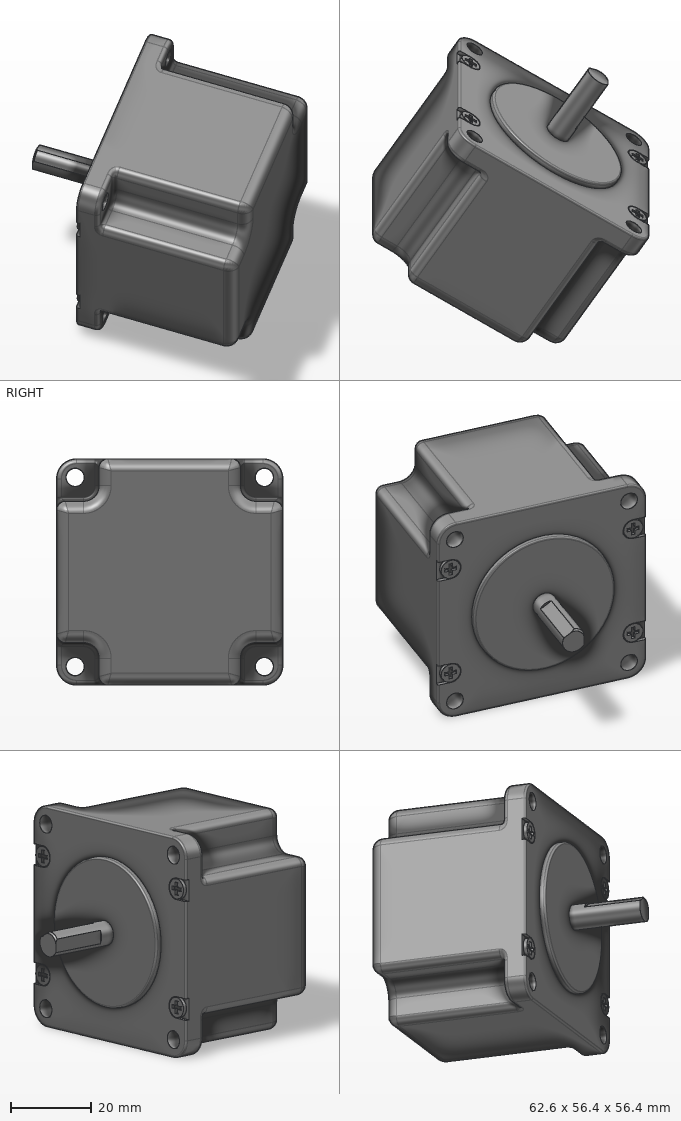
import cadquery as cq
import math


body_size = 56.4
body_length = 42.0
half_size = body_size / 2
flange_thickness = 6.1
flange_corner_radius = 5.0
flange_front_fillet = 0.5
flange_back_fillet = 1.2

notch_size = 10.6
notch_cove_radius = 3.9
notch_root_fillet = 1.0
body_edge_fillet = 2.1
rear_fillet = 3.0

mount_hole_spacing = 47.14
mount_hole_diameter = 4.5

boss_diameter = 38.1
boss_height = 1.6
boss_fillet = 0.5

shaft_diameter = 6.35
shaft_radius = shaft_diameter / 2
shaft_length = 20.6
flat_length = 15.0
flat_depth = 0.5
flat_angles = (180, 60)
tip_chamfer = 0.45

screw_y = 24.7
screw_z = 15.15
screw_head_diameter = 5.2
recess_width = 5.5
recess_depth = 1.0
cross_length = 3.2
cross_width = 0.9
cross_depth = 0.8

CORNERS = [(1, 1), (-1, 1), (-1, -1), (1, -1)]


def plane_at(x):
    """Sketch plane facing +X, with sketch axes along Y and Z."""
    return cq.Workplane("YZ", origin=(x, 0, 0))


def fillet_edges(solid, radius_by_edge):
    """Round several meeting edges in one step, each with its own radius."""
    builder = cq.occ_impl.shapes.BRepFilletAPI_MakeFillet(solid.wrapped)
    for edge, radius in radius_by_edge:
        builder.Add(radius, edge.wrapped)
    return cq.Shape.cast(builder.Shape()).Solids()[0]


def make_notch(y_sign, z_sign):
    """Square corner cutter with a coved inner edge."""
    notch = (
        plane_at(flange_thickness)
        .center(y_sign * half_size, z_sign * half_size)
        .rect(2 * notch_size, 2 * notch_size)
        .extrude(body_length)
    )
    return notch.edges("|X").fillet(notch_cove_radius)


def notch_edge_radii(body, y_sign, z_sign):
    """One edge of each tangent chain around a notch, paired with its fillet radius."""
    wall = half_size - notch_size
    body_edge_x = (flange_thickness + body_length - rear_fillet) / 2
    arc_factor = 1 - math.cos(math.pi / 4)
    cove = wall + notch_cove_radius * arc_factor
    rim = half_size - flange_corner_radius * arc_factor
    edge_points = [
        (body_edge_x, half_size, wall, body_edge_fillet),
        (body_edge_x, wall, half_size, body_edge_fillet),
        (flange_thickness, cove, cove, notch_root_fillet),
        (flange_thickness, rim, rim, flange_back_fillet),
    ]
    pairs = []
    for x, y, z, radius in edge_points:
        nearest = cq.NearestToPointSelector((x, y_sign * y, z_sign * z))
        pairs.append((body.edges(nearest).val(), radius))
    return pairs


def make_body():
    body = plane_at(0).rect(body_size, body_size).extrude(body_length)
    body = body.edges("|X").fillet(flange_corner_radius)
    for y_sign, z_sign in CORNERS:
        body = body.cut(make_notch(y_sign, z_sign))
    body = body.faces("<X").edges().fillet(flange_front_fillet)
    body = body.faces(">X").edges().fillet(rear_fillet)

    radius_by_edge = []
    for y_sign, z_sign in CORNERS:
        radius_by_edge += notch_edge_radii(body, y_sign, z_sign)
    return cq.Workplane(fillet_edges(body.val(), radius_by_edge))


def make_mounting_holes():
    return (
        plane_at(0)
        .rect(mount_hole_spacing, mount_hole_spacing, forConstruction=True)
        .vertices()
        .circle(mount_hole_diameter / 2)
        .extrude(body_length)
    )


def make_screw_recess(y_sign, z_sign):
    """Round-ended slot, open at the flange side, leaving a flush cross-head screw."""
    slot_length = half_size - screw_y
    sketch = plane_at(0).center(y_sign * screw_y, z_sign * screw_z)
    round_end = sketch.circle(recess_width / 2).extrude(recess_depth)
    straight = (
        sketch.center(y_sign * slot_length / 2, 0)
        .rect(slot_length, recess_width)
        .extrude(recess_depth)
    )
    head = sketch.circle(screw_head_diameter / 2).extrude(recess_depth)
    cross = (
        sketch.rect(cross_length, cross_width)
        .extrude(cross_depth)
        .union(sketch.rect(cross_width, cross_length).extrude(cross_depth))
    )
    return round_end.union(straight).cut(head).union(cross)


def make_boss():
    boss = plane_at(-boss_height).circle(boss_diameter / 2).extrude(boss_height)
    return boss.faces("<X").edges().fillet(boss_fillet)


def make_shaft():
    shaft = plane_at(-shaft_length).circle(shaft_radius).extrude(shaft_length)
    for angle in flat_angles:
        flat = (
            plane_at(-shaft_length)
            .center(shaft_radius, 0)
            .rect(2 * flat_depth, shaft_diameter)
            .extrude(flat_length)
            .rotate((0, 0, 0), (1, 0, 0), angle)
        )
        shaft = shaft.cut(flat)

    mid_angle = math.radians(sum(flat_angles) / len(flat_angles))
    tip_arc = cq.NearestToPointSelector(
        (-shaft_length, shaft_radius * math.cos(mid_angle), shaft_radius * math.sin(mid_angle))
    )
    return shaft.edges(tip_arc).chamfer(tip_chamfer)


result = make_body().cut(make_mounting_holes())
for y_sign, z_sign in CORNERS:
    result = result.cut(make_screw_recess(y_sign, z_sign))
result = result.union(make_boss()).union(make_shaft())